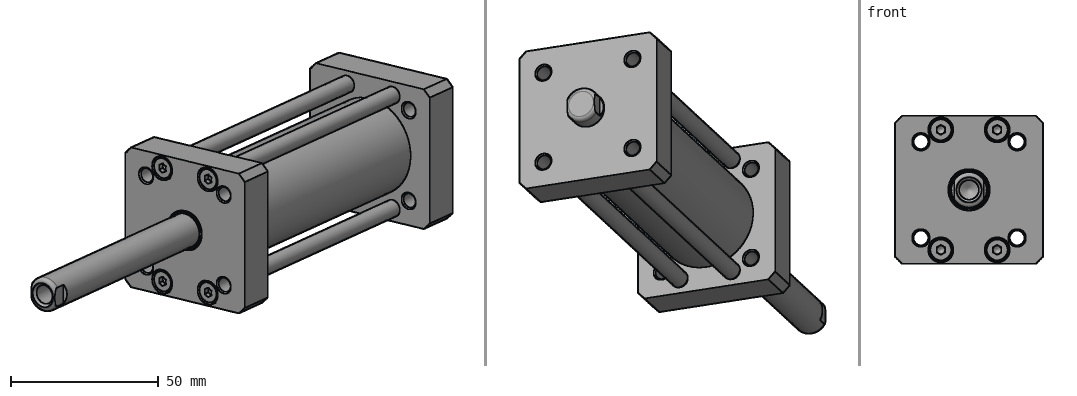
import cadquery as cq
import math


overall_length = 207.0
rod_front_reach = 81.4
plate_thickness = 13.2
tube_length = 92.7
tube_front = plate_thickness
tube_rear = tube_front + tube_length
assembly_rear = tube_rear + plate_thickness

plate_side = 50.0
plate_corner_chamfer = 2.5
mount_spacing = 32.5
mount_hole_diameter = 5.0
mount_hole_mouth = 6.0

tube_outer_diameter = 34.2
tube_bore = 32.0

rod_diameter = 12.0
rod_end_fillet = 1.5
flat_half_width = 5.0
flat_length = 5.0
flat_run_out = 0.6
rod_thread_bore = 6.6
rod_thread_mouth = 8.5
rod_thread_depth = 12.5
drill_half_angle = math.radians(59)

bushing_diameter = 13.7
bushing_face_diameter = 12.6
bushing_mouth = 14.0

tie_spacing_x = 19.0
tie_spacing_z = 40.5
tie_diameter = 6.0
tie_neck_diameter = 5.0
tie_shoulder_gap = 0.6
tie_rear_depth = 8.3
head_diameter = 7.5
head_face_diameter = 7.0
head_pocket_diameter = 8.5
head_pocket_depth = 5.0
head_height = 4.8
socket_flats = 3.0
socket_depth = 2.0


def rod_along_y(diameter, y_start, y_end, x=0.0, z=0.0):
    """Cylinder along Y between two Y positions."""
    return cq.Workplane(
        cq.Solid.makeCylinder(
            diameter / 2, y_end - y_start, cq.Vector(x, y_start, z), cq.Vector(0, 1, 0)
        )
    )


def cone_along_y(start_diameter, end_diameter, y_start, y_end, x=0.0, z=0.0):
    """Cone along +Y between two Y positions."""
    return cq.Workplane(
        cq.Solid.makeCone(
            start_diameter / 2, end_diameter / 2, y_end - y_start,
            cq.Vector(x, y_start, z), cq.Vector(0, 1, 0),
        )
    )


def mirrored_places(x, z):
    """The four points mirrored about the rod axis."""
    return [(sx * x, sz * z) for sx in (-1, 1) for sz in (-1, 1)]


def drill_tip_length(diameter):
    """Length of the pointed bottom of a drilled hole."""
    return diameter / 2 / math.tan(drill_half_angle)


mount_places = mirrored_places(mount_spacing / 2, mount_spacing / 2)
tie_places = mirrored_places(tie_spacing_x / 2, tie_spacing_z / 2)


def make_blank_plate(y_front):
    """Square plate with chamfered corners and four mounting holes chamfered at both mouths."""
    y_rear = y_front + plate_thickness
    plate = (
        cq.Workplane("XY")
        .box(plate_side, plate_thickness, plate_side)
        .edges("|Y")
        .chamfer(plate_corner_chamfer)
        .translate((0, y_front + plate_thickness / 2, 0))
    )
    mouth_depth = (mount_hole_mouth - mount_hole_diameter) / 2
    front_end = y_front + mouth_depth
    rear_start = y_rear - mouth_depth
    for x, z in mount_places:
        plate = plate.cut(rod_along_y(mount_hole_diameter, y_front, y_rear, x, z))
        plate = plate.cut(cone_along_y(mount_hole_mouth, mount_hole_diameter, y_front, front_end, x, z))
        plate = plate.cut(cone_along_y(mount_hole_diameter, mount_hole_mouth, rear_start, y_rear, x, z))
    return plate


def make_front_plate():
    """Front plate with the bushing bore and the pockets for the tie rod heads."""
    plate = make_blank_plate(0.0)
    mouth_depth = (bushing_mouth - bushing_diameter) / 2
    plate = plate.cut(rod_along_y(bushing_diameter, 0, plate_thickness))
    plate = plate.cut(cone_along_y(bushing_mouth, bushing_diameter, 0, mouth_depth))
    for x, z in tie_places:
        plate = plate.cut(rod_along_y(tie_neck_diameter, 0, plate_thickness, x, z))
        plate = plate.cut(rod_along_y(head_pocket_diameter, 0, head_pocket_depth, x, z))
    return plate


def make_rear_plate():
    """Rear plate with the rod bore and the blind holes that take the tie rod ends."""
    plate = make_blank_plate(tube_rear)
    plate = plate.cut(rod_along_y(rod_diameter, tube_rear, assembly_rear))
    for x, z in tie_places:
        plate = plate.cut(rod_along_y(tie_diameter, tube_rear, tube_rear + tie_rear_depth, x, z))
    return plate


def make_tube():
    """Cylinder tube held between the plates."""
    return rod_along_y(tube_outer_diameter, tube_front, tube_rear).cut(
        rod_along_y(tube_bore, tube_front, tube_rear)
    )


def make_bushing():
    """Ring around the rod with a chamfered outer front edge, flush with the plate face."""
    chamfer_length = (bushing_diameter - bushing_face_diameter) / 2
    ring = cone_along_y(bushing_face_diameter, bushing_diameter, 0, chamfer_length)
    ring = ring.union(rod_along_y(bushing_diameter, chamfer_length, plate_thickness))
    return ring.cut(rod_along_y(rod_diameter, 0, plate_thickness))


def make_flat_cutter(y_tip):
    """Front-end cutter for the +X wrench flat, with a steep run-out at its inner end."""
    run_out_end = y_tip + flat_length + flat_run_out
    outer = rod_diameter
    return (
        cq.Workplane("XY")
        .polyline(
            [
                (flat_half_width, y_tip),
                (flat_half_width, y_tip + flat_length),
                (rod_diameter / 2, run_out_end),
                (outer, run_out_end),
                (outer, y_tip),
            ]
        )
        .close()
        .extrude(rod_diameter, both=True)
    )


def make_piston_rod():
    """Rod with rounded ends and wrench flats at both ends, and a threaded hole in the front end."""
    y_front = -rod_front_reach
    y_rear = y_front + overall_length
    y_middle = (y_front + y_rear) / 2
    rod = rod_along_y(rod_diameter, y_front, y_rear).edges("%CIRCLE").fillet(rod_end_fillet)

    front_flat = make_flat_cutter(y_front)
    rear_flat = front_flat.mirror("XZ", (0, y_middle, 0))
    for flat in (front_flat, rear_flat):
        rod = rod.cut(flat).cut(flat.mirror("YZ"))

    mouth_depth = (rod_thread_mouth - rod_thread_bore) / 2
    bore_end = y_front + rod_thread_depth
    bore_tip = bore_end + drill_tip_length(rod_thread_bore)
    rod = rod.cut(rod_along_y(rod_thread_bore, y_front, bore_end))
    rod = rod.cut(cone_along_y(rod_thread_bore, 0, bore_end, bore_tip))
    return rod.cut(cone_along_y(rod_thread_mouth, rod_thread_bore, y_front, y_front + mouth_depth))


def make_tie_rod(x, z):
    """Tie rod with a neck through the front plate and a bevelled hexagon-socket head in its pocket."""
    head_front = head_pocket_depth - head_height
    shoulder = tube_front + tie_shoulder_gap
    tie = rod_along_y(tie_diameter, shoulder, tube_rear + tie_rear_depth, x, z)
    tie = tie.union(rod_along_y(tie_neck_diameter, head_pocket_depth, shoulder, x, z))
    bevel_end = head_front + (head_diameter - head_face_diameter) / 2
    tie = tie.union(rod_along_y(head_diameter, bevel_end, head_pocket_depth, x, z))
    tie = tie.union(cone_along_y(head_face_diameter, head_diameter, head_front, bevel_end, x, z))

    socket_end = head_front + socket_depth
    socket = (
        cq.Workplane("XZ", origin=(x, head_front, z))
        .transformed(rotate=(0, 0, 90))
        .polygon(6, socket_flats / math.cos(math.pi / 6))
        .extrude(-socket_depth)
    )
    socket_tip = socket_end + drill_tip_length(socket_flats)
    return tie.cut(socket).cut(cone_along_y(socket_flats, 0, socket_end, socket_tip, x, z))


front_plate = make_front_plate()
rear_plate = make_rear_plate()
tube = make_tube()
bushing = make_bushing()
piston_rod = make_piston_rod()
tie_rods = [make_tie_rod(x, z) for x, z in tie_places]

result = cq.Compound.makeCompound(
    [
        front_plate.val(),
        rear_plate.val(),
        tube.val(),
        bushing.val(),
        piston_rod.val(),
        *[tie_rod.val() for tie_rod in tie_rods],
    ]
)